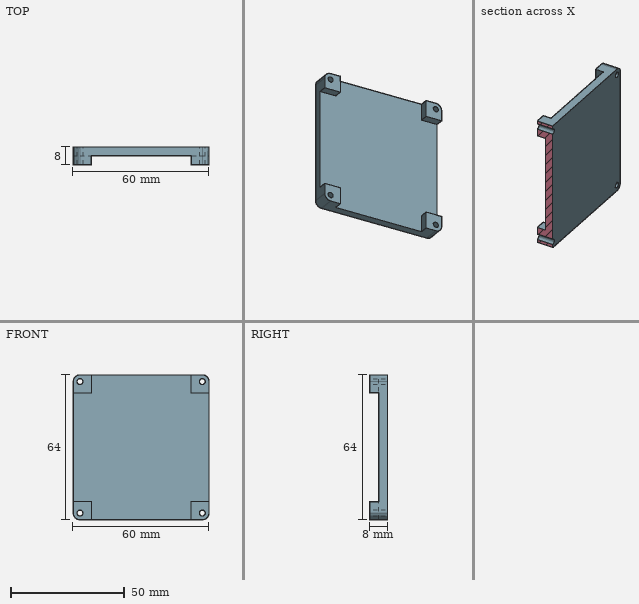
import cadquery as cq

width = 59.97
height = 63.97
depth = 8.0

plate_thickness = 4.0
pad_size = 8.0
corner_radius = 3.0
hole_diameter = 2.5
hole_inset = corner_radius


def rounded_block():
    """Full-depth block with rounded corners, running from Y = 0 to Y = depth."""
    block = cq.Workplane("XY").box(width, depth, height, centered=(True, False, True))
    return block.edges("|Y").fillet(corner_radius)


def cross_recess():
    """Cross-shaped cut on the -Y side that leaves a pad standing in each corner."""
    recess_depth = depth - plate_thickness
    centering = (True, False, True)
    upright = cq.Workplane("XY").box(width - 2 * pad_size, recess_depth, height, centered=centering)
    crossbar = cq.Workplane("XY").box(width, recess_depth, height - 2 * pad_size, centered=centering)
    return upright.union(crossbar)


def corner_holes():
    """Through holes along Y, one in each corner pad."""
    hole_plane = cq.Workplane("XZ", origin=(0, depth, 0))
    centres = hole_plane.rect(width - 2 * hole_inset, height - 2 * hole_inset, forConstruction=True).vertices()
    return centres.circle(hole_diameter / 2).extrude(depth)


result = rounded_block().cut(cross_recess()).cut(corner_holes())